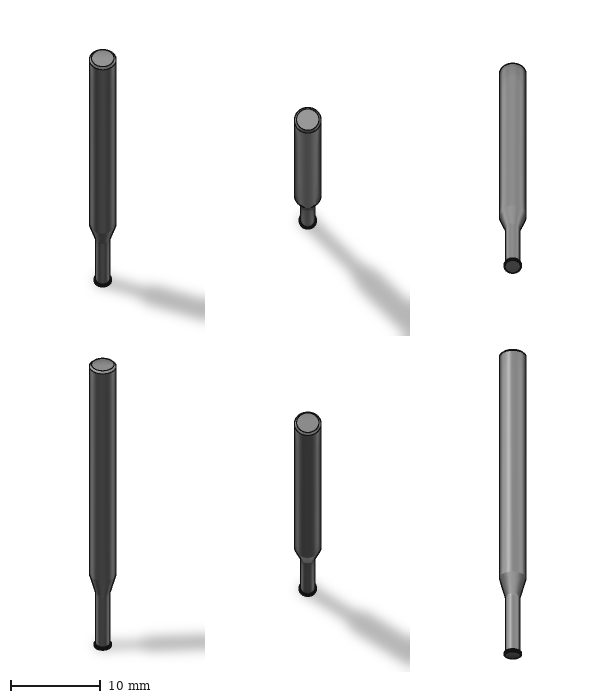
import cadquery as cq
import math

overall_length = 38.0
shank_diameter = 3.0
shank_chamfer = 0.25
shank_bottom_z = 9.78

neck_diameter = 1.63
neck_top_z = 7.14
neck_blend_radius = 1.0
taper_half_angle = math.radians(15)

crest_diameter = 1.94
core_diameter = 1.71
tooth_count = 2
tooth_pitch = 0.22
crest_width = 0.02
end_land_width = 0.02
flank_half_angle = math.radians(30)

shank_radius = shank_diameter / 2
neck_radius = neck_diameter / 2
crest_radius = crest_diameter / 2
core_radius = core_diameter / 2
flank_length = (crest_radius - core_radius) * math.tan(flank_half_angle)
tooth_width = 2 * flank_length + crest_width
head_height = 2 * end_land_width + (tooth_count - 1) * tooth_pitch + tooth_width


def add_tooth(profile, bottom_z):
    """Extend the half section up over one trapezoidal tooth standing on the head core."""
    crest_z = bottom_z + flank_length
    return (
        profile
        .lineTo(core_radius, bottom_z)
        .lineTo(crest_radius, crest_z)
        .lineTo(crest_radius, crest_z + crest_width)
        .lineTo(core_radius, bottom_z + tooth_width)
    )


def add_head(profile):
    """Extend the half section from the tip centre up to the step onto the neck."""
    profile = profile.lineTo(core_radius, 0)
    for index in range(tooth_count):
        profile = add_tooth(profile, end_land_width + index * tooth_pitch)
    return profile.lineTo(core_radius, head_height).lineTo(neck_radius, head_height)


def blend_point(angle):
    """Point (r, z) on the concave neck blend, turned by the angle from its tangency with the neck."""
    r = neck_radius + neck_blend_radius * (1 - math.cos(angle))
    z = neck_top_z + neck_blend_radius * math.sin(angle)
    return r, z


def add_neck_and_taper(profile):
    """Extend the half section up the neck, through the blend and along the cone to the shank."""
    return (
        profile
        .lineTo(neck_radius, neck_top_z)
        .threePointArc(blend_point(taper_half_angle / 2), blend_point(taper_half_angle))
        .lineTo(shank_radius, shank_bottom_z)
    )


def add_shank(profile):
    """Extend the half section up the shank and over its chamfered end to the axis."""
    return (
        profile
        .lineTo(shank_radius, overall_length - shank_chamfer)
        .lineTo(shank_radius - shank_chamfer, overall_length)
        .lineTo(0, overall_length)
    )


half_section = cq.Workplane("XZ").moveTo(0, 0)
half_section = add_head(half_section)
half_section = add_neck_and_taper(half_section)
half_section = add_shank(half_section)
result = half_section.close().revolve(360, (0, 0, 0), (0, 1, 0))